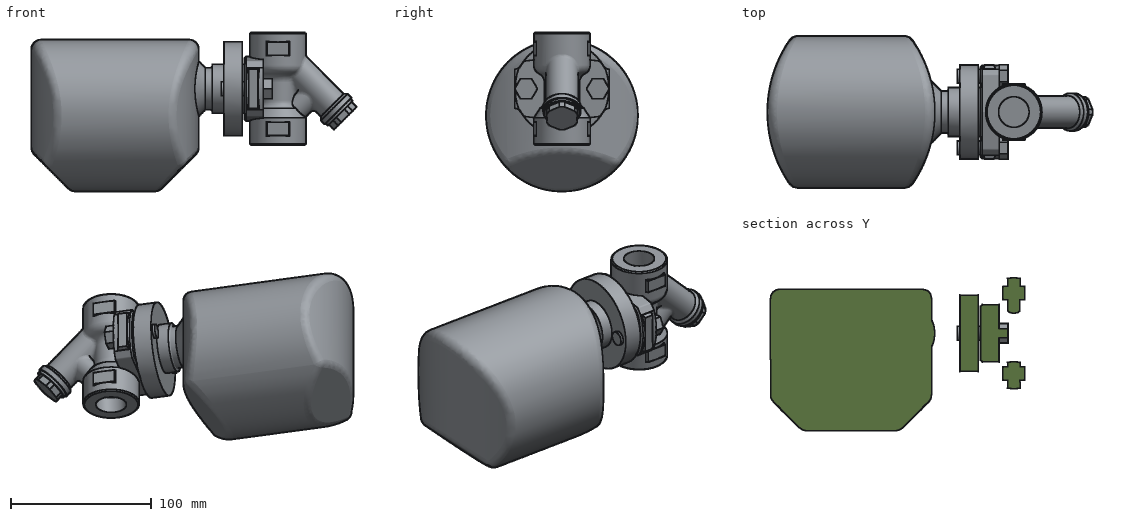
import cadquery as cq
import math


DRUM_DIA = 108.0
DRUM_LENGTH = 119.0
DRUM_X = -115.5
DRUM_Z = -19.0
END_BOW_RADIUS = 90.0
CUT_REACH = 85.0
DRUM_ROUND = 7.0

NECK_RADIUS = 15.0
HUB_RADIUS = 17.5
FLANGE_RADIUS = 33.5
NECK_ROUND = 1.0
CONE_START_X = -62.0
NECK_X = -51.4
HUB_X = -46.6
FLANGE_BACK_X = -38.2
FLANGE_FRONT_X = -25.2

PLATE_BACK_X = -23.7
PLATE_FRONT_X = -10.4
PLATE_APEX_Z = 23.0
PLATE_SHOULDER_Y = 26.8
PLATE_SHOULDER_Z = 19.6
PLATE_END_Y = 30.5
PLATE_END_Z = 15.0
PLATE_TIP_Y = 33.2
PLATE_CHAMFER = 1.3
PLATE_ROUND = 2.0

BAR_BACK_X = -21.6
BAR_FRONT_X = -13.0
BAR_HEIGHT = 29.6
BAR_TOP_Y = 33.5
BAR_DRAFT_ANGLE = 20.0

BOLT_DIA = 10.0
BOLT_Y = 25.5
BOLT_TIP_X = -40.2
HEAD_HEIGHT = 6.3
HEAD_FLATS = 14.0

PIPE_RADIUS = 20.0
PIPE_HALF_HEIGHT = 40.0
PIPE_CHAMFER = 1.0
WAIST_RADIUS = 12.5
UPPER_SHOULDER_Z = 16.6
UPPER_WAIST_Z = 4.7
LOWER_WAIST_Z = -8.5
LOWER_STEP_Z = -13.7
LOWER_SHOULDER_Z = -20.7
LOWER_STEP_RADIUS = 15.5
BORE_DIA = 21.7
BORE_DEPTH = 12.0

PAD_WIDTH = 15.2
PAD_HEIGHT = 9.2
PAD_Z = 28.5
PAD_Y = 20.2
PAD_THICKNESS = 5.0
PAD_DRAFT_ANGLE = 20.0

ARM_Z = 27.0
ARM_TURN = 135.0
ARM_RADIUS = 11.5
COLLAR_RADIUS = 13.5
SEAT_RADIUS = 12.5
COLLAR_START = 54.6
COLLAR_END = 60.5
COLLAR_CHAMFER = 2.0
SEAT_END = 62.7
PLUG_END = 67.78
PLUG_FLATS = 21.5
PLUG_CORNER_DIA = 23.0
ARM_BLEND = 3.0

PASSAGE_RADIUS = 9.0
PASSAGE_POSITION = 38.3
PASSAGE_LENGTH = 25.0
PASSAGE_BLEND = 3.0


def x_cylinder(radius, x_start, x_end, y=0.0, z=0.0):
    return cq.Workplane("YZ", origin=(x_start, y, z)).circle(radius).extrude(x_end - x_start)


def drum():
    radius = DRUM_DIA / 2
    half = DRUM_LENGTH / 2
    sag = END_BOW_RADIUS - math.sqrt(END_BOW_RADIUS**2 - radius**2)
    plan = (
        cq.Workplane("XY")
        .moveTo(half - sag, -radius)
        .threePointArc((half, 0), (half - sag, radius))
        .lineTo(sag - half, radius)
        .threePointArc((-half, 0), (sag - half, -radius))
        .close()
        .extrude(radius, both=True)
    )
    side = (
        cq.Workplane("XZ")
        .polyline(
            [
                (-half, radius),
                (half, radius),
                (half, half - CUT_REACH),
                (CUT_REACH - radius, -radius),
                (radius - CUT_REACH, -radius),
                (-half, half - CUT_REACH),
            ]
        )
        .close()
        .extrude(radius, both=True)
    )
    shell = x_cylinder(radius, -half, half).intersect(plan).intersect(side)
    shell = shell.edges().fillet(DRUM_ROUND)
    return shell.translate((DRUM_X, 0, DRUM_Z))


def bonnet():
    """Neck cone leaving the drum, neck, hub and round flange, turned about X."""
    cone_start_radius = NECK_RADIUS + (NECK_X - CONE_START_X)
    return (
        cq.Workplane("XY")
        .moveTo(CONE_START_X, 0)
        .lineTo(CONE_START_X, cone_start_radius)
        .lineTo(NECK_X, NECK_RADIUS)
        .lineTo(HUB_X - NECK_ROUND, NECK_RADIUS)
        .radiusArc((HUB_X, NECK_RADIUS + NECK_ROUND), -NECK_ROUND)
        .lineTo(HUB_X, HUB_RADIUS)
        .lineTo(FLANGE_BACK_X, HUB_RADIUS)
        .lineTo(FLANGE_BACK_X, FLANGE_RADIUS)
        .lineTo(FLANGE_FRONT_X, FLANGE_RADIUS)
        .lineTo(FLANGE_FRONT_X, HUB_RADIUS)
        .lineTo(PLATE_FRONT_X, HUB_RADIUS)
        .lineTo(PLATE_FRONT_X, 0)
        .close()
        .revolve(360, (0, 0, 0), (1, 0, 0))
    )


def valve_flange():
    plate = (
        cq.Workplane("YZ", origin=(PLATE_BACK_X, 0, 0))
        .moveTo(-PLATE_END_Y, PLATE_END_Z)
        .lineTo(-PLATE_SHOULDER_Y, PLATE_SHOULDER_Z)
        .lineTo(0, PLATE_APEX_Z)
        .lineTo(PLATE_SHOULDER_Y, PLATE_SHOULDER_Z)
        .lineTo(PLATE_END_Y, PLATE_END_Z)
        .threePointArc((PLATE_TIP_Y, 0), (PLATE_END_Y, -PLATE_END_Z))
        .lineTo(PLATE_SHOULDER_Y, -PLATE_SHOULDER_Z)
        .lineTo(0, -PLATE_APEX_Z)
        .lineTo(-PLATE_SHOULDER_Y, -PLATE_SHOULDER_Z)
        .lineTo(-PLATE_END_Y, -PLATE_END_Z)
        .threePointArc((-PLATE_TIP_Y, 0), (-PLATE_END_Y, PLATE_END_Z))
        .close()
        .extrude(PLATE_FRONT_X - PLATE_BACK_X)
    )
    for y in (-PLATE_SHOULDER_Y, PLATE_SHOULDER_Y):
        for z in (-PLATE_SHOULDER_Z, PLATE_SHOULDER_Z):
            corner = cq.selectors.BoxSelector(
                (PLATE_BACK_X, y - PLATE_ROUND, z - PLATE_ROUND),
                (PLATE_FRONT_X, y + PLATE_ROUND, z + PLATE_ROUND),
            )
            plate = plate.edges(corner).fillet(PLATE_ROUND)
    plate = plate.faces("<X").edges().chamfer(PLATE_CHAMFER)

    bar_width = BAR_FRONT_X - BAR_BACK_X
    bar = (
        cq.Workplane("XZ", origin=((BAR_BACK_X + BAR_FRONT_X) / 2, -PLATE_END_Y, 0))
        .rect(bar_width, BAR_HEIGHT)
        .extrude(BAR_TOP_Y - PLATE_END_Y, taper=BAR_DRAFT_ANGLE)
    )
    return plate.union(bar).union(bar.mirror("XZ"))


def bolt(y):
    head_corner_dia = HEAD_FLATS / math.cos(math.pi / 6)
    head = (
        cq.Workplane("YZ", origin=(PLATE_FRONT_X, y, 0))
        .polygon(6, head_corner_dia)
        .extrude(HEAD_HEIGHT)
    )
    shank = x_cylinder(BOLT_DIA / 2, BOLT_TIP_X, PLATE_FRONT_X, y)
    return head.union(shank)


def valve_body():
    """Two pipe ends joined by a waist, turned about Z."""
    rim_radius = PIPE_RADIUS - PIPE_CHAMFER
    rim_z = PIPE_HALF_HEIGHT - PIPE_CHAMFER
    upper_mid = ((PIPE_RADIUS + WAIST_RADIUS) / 2, (UPPER_SHOULDER_Z + UPPER_WAIST_Z) / 2)
    return (
        cq.Workplane("XZ")
        .moveTo(0, PIPE_HALF_HEIGHT)
        .lineTo(rim_radius, PIPE_HALF_HEIGHT)
        .lineTo(PIPE_RADIUS, rim_z)
        .lineTo(PIPE_RADIUS, UPPER_SHOULDER_Z)
        .tangentArcPoint(upper_mid, relative=False)
        .tangentArcPoint((WAIST_RADIUS, UPPER_WAIST_Z), relative=False)
        .lineTo(WAIST_RADIUS, LOWER_WAIST_Z)
        .tangentArcPoint((LOWER_STEP_RADIUS, LOWER_STEP_Z), relative=False)
        .lineTo(PIPE_RADIUS, LOWER_SHOULDER_Z)
        .lineTo(PIPE_RADIUS, -rim_z)
        .lineTo(rim_radius, -PIPE_HALF_HEIGHT)
        .lineTo(0, -PIPE_HALF_HEIGHT)
        .close()
        .revolve(360, (0, 0, 0), (0, 1, 0))
    )


def name_pads():
    """Flat-faced pads whose drafted sides sink into the round pipe ends."""
    front_pads = (
        cq.Workplane("XZ", origin=(0, -PAD_Y, 0))
        .pushPoints([(0, PAD_Z), (0, -PAD_Z)])
        .rect(PAD_WIDTH, PAD_HEIGHT)
        .extrude(-PAD_THICKNESS, taper=-PAD_DRAFT_ANGLE)
    )
    return front_pads.union(front_pads.mirror("XZ"))


def on_arm(part):
    """Turn a part built along +Z onto the strainer arm axis."""
    return part.rotate((0, 0, 0), (0, 1, 0), ARM_TURN).translate((0, 0, ARM_Z))


def arm():
    return on_arm(cq.Workplane("XY").circle(ARM_RADIUS).extrude(COLLAR_START))


def passage():
    tube = (
        cq.Workplane("YZ", origin=(0, 0, PASSAGE_POSITION))
        .circle(PASSAGE_RADIUS)
        .extrude(PASSAGE_LENGTH)
    )
    return on_arm(tube)


def blended_body():
    """Valve body with its arm and passage, the joints at the arm rounded."""
    body = valve_body().union(arm())
    body = body.edges("%BSPLINE").fillet(ARM_BLEND)
    branch = arm().union(passage())
    branch = branch.edges("%BSPLINE").fillet(PASSAGE_BLEND)
    return body.union(branch)


def strainer_cap():
    collar = (
        cq.Workplane("XY", origin=(0, 0, COLLAR_START))
        .circle(COLLAR_RADIUS)
        .extrude(COLLAR_END - COLLAR_START)
        .faces("<Z")
        .chamfer(COLLAR_CHAMFER)
    )
    seat = (
        cq.Workplane("XY", origin=(0, 0, COLLAR_END))
        .circle(SEAT_RADIUS)
        .extrude(SEAT_END - COLLAR_END)
    )
    plug = (
        cq.Workplane("XY", origin=(0, 0, SEAT_END))
        .polygon(6, PLUG_FLATS / math.cos(math.pi / 6))
        .extrude(PLUG_END - SEAT_END)
    )
    plug_round = cq.Workplane("XY").circle(PLUG_CORNER_DIA / 2).extrude(PLUG_END)
    plug = plug.intersect(plug_round)
    return on_arm(collar.union(seat).union(plug))


def bores():
    depth_start = PIPE_HALF_HEIGHT - BORE_DEPTH
    bore = cq.Workplane("XY", origin=(0, 0, depth_start)).circle(BORE_DIA / 2).extrude(BORE_DEPTH)
    return bore.union(bore.mirror("XY"))


valve = blended_body()
for part in (name_pads(), valve_flange(), strainer_cap()):
    valve = valve.union(part)
valve = valve.cut(bores())

result = valve.union(bonnet()).union(drum())
for bolt_y in (-BOLT_Y, BOLT_Y):
    result = result.union(bolt(bolt_y))